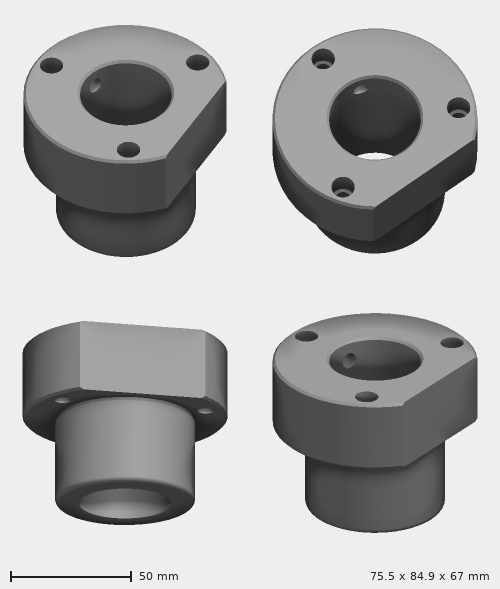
import cadquery as cq
import math

flange_diameter = 84.9
flange_height = 30.0
flat_offset = 33.0
flange_chamfer = 1.0

total_height = 67.0
spigot_diameter = 58.0
groove_diameter = 56.5
groove_height = 1.4
spigot_top_chamfer = 0.5
spigot_end_radius = 1.95

bore_diameter = 38.0
bore_chamfer = 1.0

screw_count = 3
screw_circle_radius = 35.0
screw_diameter = 6.6
counterbore_diameter = 9.7
counterbore_depth = 10.8

side_hole_diameter = 6.8
side_hole_drop = 9.0
side_hole_y = 14.5

flange_bottom = total_height - flange_height
spigot_height = flange_bottom - groove_height


def cylinder(diameter, height, base_z):
    """Upright cylinder centred on the Z axis."""
    return cq.Workplane("XY").workplane(offset=base_z).circle(diameter / 2).extrude(height)


def make_flange():
    """Disc with chamfered rims, cut by the flat."""
    disc = cylinder(flange_diameter, flange_height, flange_bottom).edges("%CIRCLE").chamfer(flange_chamfer)
    beyond_flat = (
        cq.Workplane("XY")
        .box(flange_diameter, 2 * flange_diameter, 2 * total_height, centered=(False, True, True))
        .translate((flat_offset, 0, 0))
    )
    return disc.cut(beyond_flat)


def make_spigot():
    """Spigot with a rounded lower end, joined to the flange by the groove."""
    spigot = cylinder(spigot_diameter, spigot_height, 0)
    spigot = spigot.faces("<Z").edges().fillet(spigot_end_radius)
    spigot = spigot.faces(">Z").edges().chamfer(spigot_top_chamfer)
    return spigot.union(cylinder(groove_diameter, groove_height, spigot_height))


def make_bore():
    """Bore tool, widened by the chamfer at the top."""
    bore = cylinder(bore_diameter, total_height, 0)
    bore_radius = bore_diameter / 2
    mouth = cq.Workplane(cq.Solid.makeCone(
        bore_radius, bore_radius + bore_chamfer, bore_chamfer, cq.Vector(0, 0, total_height - bore_chamfer)))
    return bore.union(mouth)


def make_screw_holes():
    """Through holes with counterbores, evenly spaced from the -X side."""

    def ring(diameter, height, base_z):
        return (
            cq.Workplane("XY").workplane(offset=base_z)
            .polarArray(screw_circle_radius, 180, 360, screw_count)
            .circle(diameter / 2).extrude(height)
        )

    holes = ring(screw_diameter, flange_height, flange_bottom)
    return holes.union(ring(counterbore_diameter, counterbore_depth, total_height - counterbore_depth))


def make_side_hole():
    """Radial hole from the flange wall into the bore."""
    radius = flange_diameter / 2
    outward_x = -math.sqrt(radius**2 - side_hole_y**2)
    axis_z = total_height - side_hole_drop
    return cq.Workplane(cq.Solid.makeCylinder(
        side_hole_diameter / 2,
        flange_diameter,
        cq.Vector(0, 0, axis_z),
        cq.Vector(outward_x, side_hole_y, 0),
    ))


result = (
    make_flange()
    .union(make_spigot())
    .cut(make_bore())
    .cut(make_screw_holes())
    .cut(make_side_hole())
)